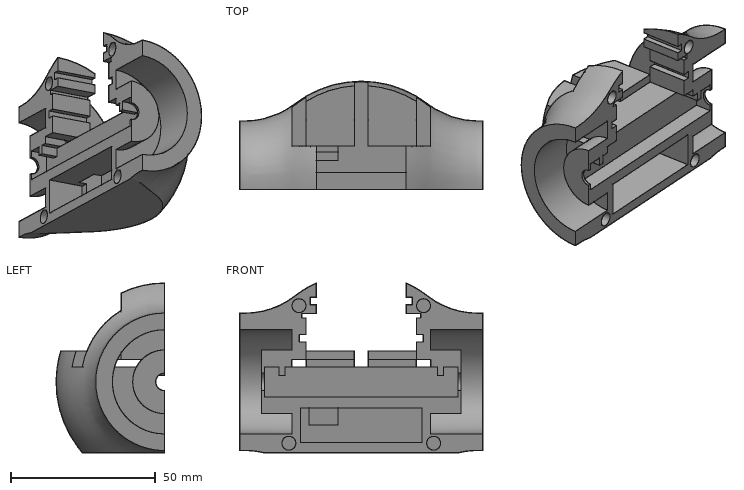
import cadquery as cq
import math


length = 84.0
sphere_radius = 37.5
neck_radius = 23.75
neck_fillet = 28.0
base_z = -24.5

socket_radius = 18.0
socket_floor_x = 24.0
core_radius = 11.0
core_end_x = 34.5

rod_half_length = 33.5
rod_half_height = 5.2
rod_depth = 6.0
end_hole_radius = 3.0
tab_inner_x = 26.4
tab_width = 2.0
tab_height = 3.0

deck_z = rod_half_height
slot_height = 2.5
slot_top_z = deck_z + slot_height
slot_depth = 24.0

tower_depth = 15.0
mouth_half_width = 15.5
bay_half_width = 19.0
lip_bottom_z = 23.6
lip_undercut = 1.5
groove_height = 2.5
upper_groove_z = 26.7
upper_groove_depth = 2.1
lower_groove_z = 13.8
lower_groove_depth = 2.4

plate_thickness = 3.0
plate_top_z = slot_top_z + plate_thickness
plate_gap = 4.7

lower_half_length = 21.0
lower_top_z = -9.0
lower_bottom_z = -21.0
lower_depth = 13.0
channel_left_x = -18.0
channel_width = 10.0
channel_front_y = 10.0
channel_back_y = 20.0
channel_bottom_z = -15.0

dowel_diameter = 4.8
dowel_depth = 3.0
upper_dowel = (21.5, 26.3)
lower_dowel = (25.0, -21.2)

half_length = length / 2
reach = 2 * sphere_radius


def box(x_range, y_range, z_range):
    """Axis-aligned box from its limits along X, Y and Z."""
    lows, highs = zip(x_range, y_range, z_range)
    sizes = [high - low for low, high in zip(lows, highs)]
    return cq.Workplane("XY").box(*sizes, centered=False).translate(lows)


def x_cylinder(radius, x_start, x_end):
    """Cylinder on the X axis."""
    return cq.Workplane("YZ").circle(radius).extrude(x_end - x_start).translate((x_start, 0, 0))


def both_ends(shape):
    """The shape together with its mirror image across x = 0."""
    return shape.union(shape.mirror("YZ"))


def outer_body():
    """Sphere blended into two necks, cut flat at the base and at the joint face."""
    arc_center_r = neck_radius + neck_fillet
    center_distance = sphere_radius + neck_fillet
    arc_center_x = math.sqrt(center_distance**2 - arc_center_r**2)
    blend_x = arc_center_x * sphere_radius / center_distance
    blend_r = arc_center_r * sphere_radius / center_distance

    half_sweep = math.asin(arc_center_x / center_distance) / 2
    middle_x = arc_center_x - neck_fillet * math.sin(half_sweep)
    middle_r = arc_center_r - neck_fillet * math.cos(half_sweep)

    profile = (
        cq.Workplane("XZ")
        .moveTo(-half_length, 0)
        .lineTo(-half_length, neck_radius)
        .lineTo(-arc_center_x, neck_radius)
        .threePointArc((-middle_x, middle_r), (-blend_x, blend_r))
        .threePointArc((0, sphere_radius), (blend_x, blend_r))
        .threePointArc((middle_x, middle_r), (arc_center_x, neck_radius))
        .lineTo(half_length, neck_radius)
        .lineTo(half_length, 0)
        .close()
    )
    turned = profile.revolve(360, (0, 0, 0), (1, 0, 0))
    keep = box((-half_length, half_length), (0, reach), (base_z, reach))
    return turned.intersect(keep)


def end_sockets():
    """Ring-shaped sockets around a shorter core at both ends."""
    socket = x_cylinder(socket_radius, socket_floor_x, half_length)
    core = x_cylinder(core_radius, socket_floor_x, core_end_x)
    return both_ends(socket.cut(core))


def rod_pocket():
    """Pocket on the axis with a retaining tab near each end and a hole in each end wall."""
    pocket = box(
        (-rod_half_length, rod_half_length),
        (0, rod_depth),
        (-rod_half_height, rod_half_height),
    )
    tab = box(
        (tab_inner_x, tab_inner_x + tab_width),
        (0, rod_depth),
        (rod_half_height - tab_height, rod_half_height),
    )
    end_hole = x_cylinder(end_hole_radius, rod_half_length, core_end_x)
    return pocket.cut(both_ends(tab)).union(both_ends(end_hole))


def tower_opening():
    """Stepped opening between the towers, with grooves in its side walls."""
    def bay(half_width, bottom_z, top_z):
        return box((-half_width, half_width), (0, tower_depth), (bottom_z, top_z))

    lower_groove_top_z = lower_groove_z + groove_height
    upper_groove_top_z = upper_groove_z + groove_height
    opening = bay(mouth_half_width, deck_z, reach)
    opening = opening.union(bay(bay_half_width, deck_z, lip_bottom_z))
    opening = opening.union(bay(bay_half_width + lip_undercut, lip_bottom_z - lip_undercut, lip_bottom_z))
    opening = opening.union(bay(bay_half_width + lower_groove_depth, lower_groove_z, lower_groove_top_z))
    opening = opening.union(bay(mouth_half_width + upper_groove_depth, upper_groove_z, upper_groove_top_z))
    return opening


def rear_clearance():
    """Space behind the towers, leaving two plates on the deck."""
    space = box((-socket_floor_x, socket_floor_x), (tower_depth, reach), (deck_z, reach))
    plate = box((plate_gap / 2, bay_half_width), (tower_depth, reach), (deck_z, plate_top_z))
    return space.cut(both_ends(plate))


def board_slot():
    """Flat slot on the deck that runs under the towers and plates."""
    return box((-socket_floor_x, socket_floor_x), (0, slot_depth), (deck_z, slot_top_z))


def lower_pocket():
    """Pocket below the rod, open at the joint face."""
    return box(
        (-lower_half_length, lower_half_length),
        (0, lower_depth),
        (lower_bottom_z, lower_top_z),
    )


def cable_channel():
    """Shaft from the back of the lower pocket up to the deck."""
    return box(
        (channel_left_x, channel_left_x + channel_width),
        (channel_front_y, channel_back_y),
        (channel_bottom_z, deck_z),
    )


def dowel_holes():
    """Blind holes in the joint face, one upper and one lower pair."""
    holes = (
        cq.Workplane("XZ")
        .pushPoints([upper_dowel, lower_dowel])
        .circle(dowel_diameter / 2)
        .extrude(-dowel_depth)
    )
    return both_ends(holes)


result = (
    outer_body()
    .cut(end_sockets())
    .cut(rod_pocket())
    .cut(tower_opening())
    .cut(rear_clearance())
    .cut(board_slot())
    .cut(lower_pocket())
    .cut(cable_channel())
    .cut(dowel_holes())
)